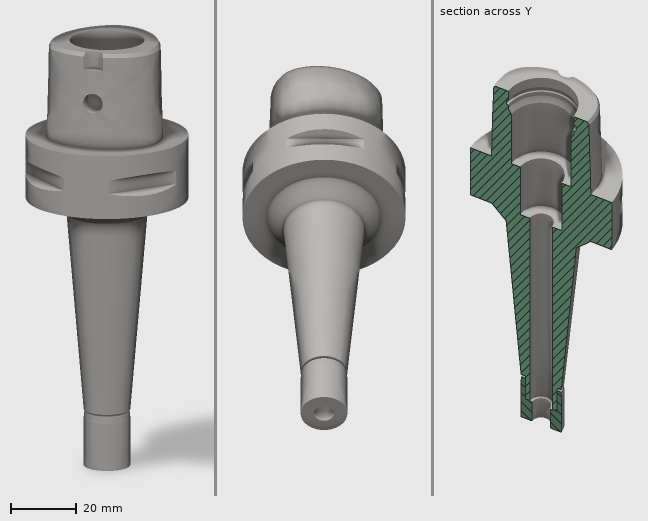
import cadquery as cq
import math

total_height = 135.0
flange_top = 105.0
flange_bottom = 85.0
collar_bottom = 80.0
neck_bottom = 17.8
nut_top = 17.0
nut_rim_bottom = 15.0

flange_radius = 25.0
neck_top_radius = 12.4
collar_radius = neck_top_radius + flange_bottom - collar_bottom
nut_radius = 7.2
nut_rim_radius = 7.0
neck_bottom_radius = 7.2
spigot_radius = 5.7

shank_mean_radius = 17.8
lobe_height = 1.0
shank_taper = 1 / 40
shank_chamfer_height = 1.2
shank_chamfer_inset = 0.7
outline_points = 24

mouth_radius = 11.5
undercut_radius = 12.2
undercut_start = 3.9
undercut_end = 5.8
seat_start = 7.4
seat_end = 9.5
main_bore_radius = 10.4
main_bore_depth = total_height - flange_top
screw_bore_radius = 7.3
screw_bore_depth = total_height - flange_bottom
holder_bore_radius = 3.9
nut_bore_radius = 3.1
spigot_bottom = 8.1

notch_radius = 3.2
notch_depth = 5.4
notch_center_y = -17.1
side_hole_radius = 3.1
side_hole_height = 119.2
side_hole_floor_y = -11.3

groove_count = 4
groove_floor_distance = 22.0
groove_floor_width = 4.2
groove_mouth_width = 6.6
groove_height = (flange_top + flange_bottom) / 2


def lobed_point(angle, mean_radius):
    """Point of the outline whose tangent lies mean_radius + lobe_height * cos(3 * angle) from the axis.

    The angle is measured from +Y, where one of the lobes points.
    """
    reach = mean_radius + lobe_height * math.cos(3 * angle)
    slope = -3 * lobe_height * math.sin(3 * angle)
    x = reach * math.sin(angle) + slope * math.cos(angle)
    y = reach * math.cos(angle) - slope * math.sin(angle)
    return x, y


def lobed_outline(mean_radius, height):
    """Closed smooth wire of the three-lobed section at one height."""
    step = 2 * math.pi / outline_points
    points = [lobed_point(i * step, mean_radius) for i in range(outline_points)]
    curve = cq.Workplane("XY").workplane(offset=height).spline(points, periodic=True).close()
    return curve.val()


def lobed_frustum(bottom, bottom_radius, top, top_radius):
    """Straight-sided solid between two three-lobed sections."""
    wires = [lobed_outline(bottom_radius, bottom), lobed_outline(top_radius, top)]
    return cq.Workplane(cq.Solid.makeLoft(wires, True))


def revolved(profile):
    """Solid of revolution about Z from (radius, height) points."""
    return cq.Workplane("XZ").polyline(profile).close().revolve(360, (0, 0), (0, 1))


def make_shank():
    chamfer_start = total_height - shank_chamfer_height
    end_radius = shank_mean_radius - shank_taper * (chamfer_start - flange_top)
    shank = lobed_frustum(flange_top, shank_mean_radius, chamfer_start, end_radius)
    tip = lobed_frustum(chamfer_start, end_radius, total_height, end_radius - shank_chamfer_inset)
    return shank.union(tip)


def make_turned_body():
    """Flange, collar cone, long tapered neck and the spigot that carries the nut."""
    return revolved([
        (0, flange_top),
        (flange_radius, flange_top),
        (flange_radius, flange_bottom),
        (collar_radius, flange_bottom),
        (neck_top_radius, collar_bottom),
        (neck_bottom_radius, neck_bottom),
        (spigot_radius, neck_bottom),
        (spigot_radius, spigot_bottom),
        (0, spigot_bottom),
    ])


def make_bore():
    """Stepped bore with an undercut ring and a conical seat near its mouth."""
    return revolved([
        (0, total_height),
        (mouth_radius, total_height),
        (mouth_radius, total_height - undercut_start),
        (undercut_radius, total_height - undercut_start),
        (undercut_radius, total_height - undercut_end),
        (mouth_radius, total_height - undercut_end),
        (mouth_radius, total_height - seat_start),
        (main_bore_radius, total_height - seat_end),
        (main_bore_radius, total_height - main_bore_depth),
        (screw_bore_radius, total_height - main_bore_depth),
        (screw_bore_radius, total_height - screw_bore_depth),
        (holder_bore_radius, total_height - screw_bore_depth),
        (holder_bore_radius, spigot_bottom),
        (0, spigot_bottom),
    ])


def make_notch():
    floor = cq.Workplane("XY").workplane(offset=total_height - notch_depth)
    return floor.center(0, notch_center_y).circle(notch_radius).extrude(notch_depth)


def make_side_hole():
    floor = cq.Workplane("XZ", origin=(0, side_hole_floor_y, side_hole_height))
    return floor.circle(side_hole_radius).extrude(flange_radius + side_hole_floor_y)


def make_gripper_groove(angle):
    """Flat-floored groove with sloping flanks, cut straight across the flange's edge."""
    profile = [
        (groove_floor_distance, groove_height - groove_floor_width / 2),
        (flange_radius, groove_height - groove_mouth_width / 2),
        (flange_radius, groove_height + groove_mouth_width / 2),
        (groove_floor_distance, groove_height + groove_floor_width / 2),
    ]
    groove = cq.Workplane("XZ").polyline(profile).close().extrude(flange_radius, both=True)
    return groove.rotate((0, 0, 0), (0, 0, 1), angle)


def make_holder():
    holder = make_turned_body().union(make_shank())
    holder = holder.cut(make_bore()).cut(make_notch()).cut(make_side_hole())
    spacing = 360 / groove_count
    for i in range(groove_count):
        holder = holder.cut(make_gripper_groove((i + 0.5) * spacing))
    return holder


def make_nut():
    """Clamping nut that sits on the holder's spigot, with a slightly tapered rim."""
    return revolved([
        (spigot_radius, nut_top),
        (nut_rim_radius, nut_top),
        (nut_radius, nut_rim_bottom),
        (nut_radius, 0),
        (nut_bore_radius, 0),
        (nut_bore_radius, spigot_bottom),
        (spigot_radius, spigot_bottom),
    ])


holder = make_holder()
nut = make_nut()

result = cq.Compound.makeCompound([holder.val(), nut.val()])